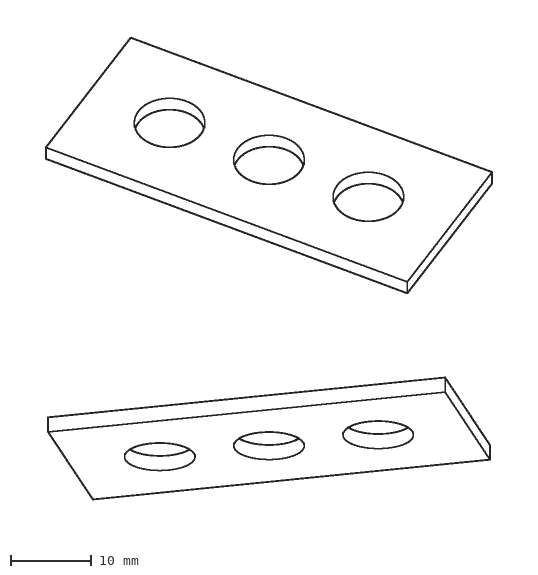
import cadquery as cq

plate_length = 50.8
plate_width = 22.25
plate_thickness = 2.0

hole_count = 3
hole_diameter = 8.75
hole_spacing = 13.95

plate = cq.Workplane("XY").box(plate_length, plate_width, plate_thickness)

result = (
    plate.faces(">Z")
    .workplane()
    .rarray(hole_spacing, 0.5, hole_count, 1)
    .hole(hole_diameter)
)